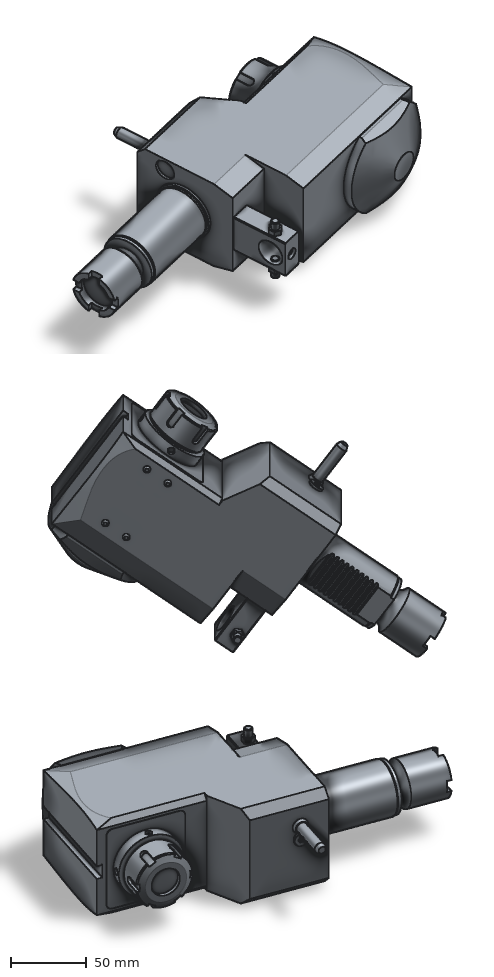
import cadquery as cq
import math


HALF_HEIGHT = 37.5
BASE_LEFT = -38.8
BASE_RIGHT = 39.6
HEAD_LEFT = -8.5
HEAD_RIGHT = 72.0
HEAD_REAR = 156.0
SHOULDER_Y = 35.0
SLOPE_LOW_Y = 58.2
SLOPE_HIGH_Y = 75.0
BASE_BEVEL = 6.4
SHALLOW_ANGLE = 15.0
SHALLOW_SLOPE = math.tan(math.radians(SHALLOW_ANGLE))
BASE_SHALLOW_WIDTH = 15.5
HEAD_SHALLOW_WIDTH = 14.5
HEAD_BEVEL = HEAD_SHALLOW_WIDTH * SHALLOW_SLOPE
CROWN_EDGE_Y = 143.4
CROWN_TOP_RISE = 9.0
CROWN_CORNER_RISE = 12.4
CROWN_PEAK_POSITION = 0.38
CROWN_LEFT_STEEPNESS = 7.0
CROWN_RIGHT_STEEPNESS = 2.0
REAR_SLOT_WIDTH = 10.0
REAR_SLOT_DEPTH = 4.0
PLUG_X = -15.9
PLUG_Z = 27.7
PLUG_DIAMETER = 15.0
PLUG_DEPTH = 2.0
MARGIN = 10.0

COLLAR_RADIUS = 21.5
COLLAR_LENGTH = 2.0
SEAT_RADIUS = 20.1
SEAT_END = 3.6
SHANK_RADIUS = 20.0
SHANK_LENGTH = 63.0
SHANK_END_RADIUS = 19.5
SHANK_END_LENGTH = 2.5
SHANK_END_TAPER = 0.9
NECK_RADIUS = 12.5
NECK_LENGTH = 0.6
FLARE_MID_RADIUS = 13.5
COUPLING_RADIUS = 17.5
COUPLING_START = 71.0
COUPLING_END = 101.0
COUPLING_BORE = 12.7
COUPLING_BORE_DEPTH = 6.0
CLAW_DEPTH = 3.5
CLAW_SLOT_WIDTH = 8.6
RACK_FLAT_Z = -16.1
RACK_FLAT_START = 9.5
RACK_PITCH = 4.0
RACK_NOTCHES = 10
RACK_FIRST = 11.7
RACK_DEPTH = 1.3
RACK_NOTCH_BOTTOM = 1.4
RACK_NOTCH_TOP = 3.2

SPINDLE_Y = 120.0
FLANGE_RADIUS = 24.0
FLANGE_FACE = -17.0
NUT_RADIUS = 21.0
NUT_FACE = -38.7
NUT_FACE_RADIUS = 15.2
NUT_BEVEL_RADIUS = 20.2
NUT_BEVEL_LENGTH = 1.5
NUT_ROUND_LENGTH = 2.4
NUT_GROOVE_RADIUS = 20.0
NUT_GROOVE_LENGTH = 1.5
NUT_BORE = 10.4
NUT_BORE_DEPTH = 3.0
NUT_SLOTS = 6
NUT_SLOT_WIDTH = 5.4
NUT_SLOT_END = -24.0
NUT_SLOT_FLOOR = 18.5
FLANGE_HOLES = 4
FLANGE_HOLE_X = -13.0
FLANGE_HOLE_DIAMETER = 4.8
FLANGE_HOLE_DEPTH = 4.0
PLATE_LENGTH = 58.0
PLATE_HEIGHT = 63.0
PLATE_CORNER = 4.5
PLATE_PROUD = 0.3

COVER_RADIUS = 40.3
COVER_RIM_X = 78.5
COVER_TIP_X = 92.0
COVER_TIP_RADIUS = 10.6
COVER_FLAT_Y = 151.7
COVER_HALF_HEIGHT = 33.2
COVER_STRAIGHT = 2.0

ARM_END = 82.0
ARM_HALF_HEIGHT = 15.0
ARM_FRONT = 1.0
ARM_BACK = 16.2
ARM_BORE_X = 70.0
ARM_BORE_DIAMETER = 19.6
ARM_SIDE_HOLE = 8.0
ARM_CHAMFER = 0.6
STUD_Y = 6.2
STUD_DIAMETER = 5.8
STUD_TIP_Z = 25.3
STUD_INNER_Z = 9.0
STUD_CHAMFER = 0.6
STUD_NUT_HEIGHT = 4.0
STUD_NUT_CORNERS = 9.4

PIN_Y = 21.0
PIN_Z = 16.0
PIN_RADIUS = 4.0
PIN_TIP = -71.5
PIN_TIP_RADIUS = 2.6
PIN_TIP_LENGTH = 3.0
PIN_COLLAR_RADIUS = 5.7
PIN_COLLAR_FACE_RADIUS = 4.6
PIN_COLLAR_HEIGHT = 2.4
SCREW_Z = 6.2
SCREW_RADIUS = 5.0
SCREW_HEIGHT = 1.8
SCREW_SOCKET = 4.6
SCREW_SOCKET_DEPTH = 1.5

RIVET_CENTRE_X = 26.2
RIVET_CENTRE_Y = SPINDLE_Y
RIVET_SPACING_X = 47.0
RIVET_SPACING_Y = 17.0
RIVET_HEIGHT = 1.6
RIVET_BASE_RADIUS = 2.4
RIVET_TOP_RADIUS = 1.2


def box(x0, x1, y0, y1, z0, z1):
    return cq.Workplane("XY").box(x1 - x0, y1 - y0, z1 - z0, centered=False).translate((x0, y0, z0))


def turned_on_x(profile, y, z):
    """Revolve (x, radius) points about an axis parallel to X."""
    axis_start, axis_end = (0, 0), (1, 0)
    solid = cq.Workplane("XY").polyline(profile).close().revolve(360, axis_start, axis_end)
    return solid.translate((0, y, z))


def edge_bevel(x_edge, inward, width, drop, y0, y1):
    """Wedges removing the upper and lower long edges at x_edge; inward is +1 or -1."""
    upper = (
        cq.Workplane("XZ", origin=(0, y1, 0))
        .moveTo(x_edge + inward * width, HALF_HEIGHT)
        .lineTo(x_edge, HALF_HEIGHT - drop)
        .lineTo(x_edge - inward * MARGIN, HALF_HEIGHT - drop)
        .lineTo(x_edge - inward * MARGIN, HALF_HEIGHT + MARGIN)
        .lineTo(x_edge + inward * width, HALF_HEIGHT + MARGIN)
        .close()
        .extrude(y1 - y0)
    )
    return upper.union(upper.mirror("XY"))


def crown_outline(left, right, edge_y, rise, z):
    """Wire at height z around everything behind the arched rear edge of the head."""
    span = right - left
    scale = rise / span
    peak = (left + CROWN_PEAK_POSITION * span, edge_y + rise)
    beyond = HEAD_REAR + CROWN_CORNER_RISE + MARGIN
    return (
        cq.Workplane("XY", origin=(0, 0, z))
        .moveTo(left, edge_y)
        .spline(
            [peak, (right, edge_y)],
            tangents=[(1, CROWN_LEFT_STEEPNESS * scale), (1, 0), (1, -CROWN_RIGHT_STEEPNESS * scale)],
            includeCurrent=True,
        )
        .lineTo(right, beyond)
        .lineTo(left, beyond)
        .close()
        .val()
    )


def crown_cutter():
    """Ruled body that gives the rear of the head its arched upper and lower bevels."""
    left = HEAD_LEFT + HEAD_BEVEL
    right = HEAD_RIGHT - HEAD_SHALLOW_WIDTH
    corner_z = HALF_HEIGHT - HEAD_SHALLOW_WIDTH * SHALLOW_SLOPE
    top = crown_outline(left, right, CROWN_EDGE_Y, CROWN_TOP_RISE, HALF_HEIGHT)
    corner = crown_outline(HEAD_LEFT, HEAD_RIGHT, HEAD_REAR, CROWN_CORNER_RISE, corner_z)
    upper = cq.Workplane(cq.Solid.makeLoft([corner, top], True))
    return upper.union(upper.mirror("XY"))


def make_housing():
    body = (
        cq.Workplane("XY", origin=(0, 0, -HALF_HEIGHT))
        .moveTo(BASE_LEFT, 0)
        .lineTo(BASE_RIGHT, 0)
        .lineTo(BASE_RIGHT, SHOULDER_Y)
        .lineTo(HEAD_RIGHT, SHOULDER_Y)
        .lineTo(HEAD_RIGHT, HEAD_REAR)
        .lineTo(HEAD_LEFT, HEAD_REAR)
        .lineTo(HEAD_LEFT, SLOPE_HIGH_Y)
        .lineTo(BASE_LEFT, SLOPE_LOW_Y)
        .close()
        .extrude(2 * HALF_HEIGHT)
    )
    head_drop = HEAD_SHALLOW_WIDTH * SHALLOW_SLOPE
    base_drop = BASE_SHALLOW_WIDTH * SHALLOW_SLOPE
    body = body.cut(edge_bevel(BASE_LEFT, 1, BASE_BEVEL, BASE_BEVEL, 0, SLOPE_HIGH_Y))
    body = body.cut(edge_bevel(HEAD_LEFT, 1, HEAD_BEVEL, HEAD_BEVEL, SLOPE_HIGH_Y, HEAD_REAR))
    body = body.cut(edge_bevel(HEAD_RIGHT, -1, HEAD_SHALLOW_WIDTH, head_drop, SHOULDER_Y, HEAD_REAR))
    body = body.cut(edge_bevel(BASE_RIGHT, -1, BASE_SHALLOW_WIDTH, base_drop, 0, SHOULDER_Y))
    body = body.cut(crown_cutter())
    half_slot = REAR_SLOT_WIDTH / 2
    body = body.cut(
        box(HEAD_LEFT, HEAD_RIGHT, HEAD_REAR - REAR_SLOT_DEPTH, HEAD_REAR, -half_slot, half_slot)
    )
    plug_hole = (
        cq.Workplane("XZ", origin=(PLUG_X, PLUG_DEPTH, PLUG_Z)).circle(PLUG_DIAMETER / 2).extrude(PLUG_DEPTH)
    )
    return body.cut(plug_hole)


def cut_rack(shank):
    """Flat with transverse locking teeth on the underside of the shank."""
    run_out = SHANK_RADIUS + RACK_FLAT_Z
    flat = (
        cq.Workplane("YZ", origin=(-SHANK_RADIUS, 0, 0))
        .moveTo(-RACK_FLAT_START, RACK_FLAT_Z)
        .lineTo(-SHANK_LENGTH, RACK_FLAT_Z)
        .lineTo(-SHANK_LENGTH, -SHANK_RADIUS)
        .lineTo(-RACK_FLAT_START + run_out, -SHANK_RADIUS)
        .close()
        .extrude(2 * SHANK_RADIUS)
    )
    shank = shank.cut(flat)
    for index in range(RACK_NOTCHES):
        y = -RACK_FIRST - index * RACK_PITCH
        notch = (
            cq.Workplane("YZ", origin=(-SHANK_RADIUS, 0, 0))
            .moveTo(y - RACK_NOTCH_TOP / 2, RACK_FLAT_Z)
            .lineTo(y - RACK_NOTCH_BOTTOM / 2, RACK_FLAT_Z + RACK_DEPTH)
            .lineTo(y + RACK_NOTCH_BOTTOM / 2, RACK_FLAT_Z + RACK_DEPTH)
            .lineTo(y + RACK_NOTCH_TOP / 2, RACK_FLAT_Z)
            .close()
            .extrude(2 * SHANK_RADIUS)
        )
        shank = shank.cut(notch)
    return shank


def make_shank():
    end_start = SHANK_LENGTH - SHANK_END_LENGTH
    neck_end = SHANK_LENGTH + NECK_LENGTH
    flare_middle = (neck_end + COUPLING_START) / 2
    turned = (
        cq.Workplane("XY")
        .moveTo(0, 0)
        .lineTo(COLLAR_RADIUS, 0)
        .lineTo(COLLAR_RADIUS, -COLLAR_LENGTH)
        .lineTo(SEAT_RADIUS, -COLLAR_LENGTH)
        .lineTo(SEAT_RADIUS, -SEAT_END)
        .lineTo(SHANK_RADIUS, -SEAT_END)
        .lineTo(SHANK_RADIUS, -end_start + SHANK_END_TAPER)
        .lineTo(SHANK_END_RADIUS, -end_start)
        .lineTo(SHANK_END_RADIUS, -SHANK_LENGTH)
        .lineTo(NECK_RADIUS, -SHANK_LENGTH)
        .lineTo(NECK_RADIUS, -neck_end)
        .threePointArc((FLARE_MID_RADIUS, -flare_middle), (COUPLING_RADIUS, -COUPLING_START))
        .lineTo(COUPLING_RADIUS, -COUPLING_END)
        .lineTo(0, -COUPLING_END)
        .close()
        .revolve(360, (0, 0), (0, 1))
    )
    shank = cut_rack(turned)
    claw_floor = COUPLING_END - CLAW_DEPTH
    half_slot = CLAW_SLOT_WIDTH / 2
    bore = (
        cq.Workplane("XZ", origin=(0, COUPLING_BORE_DEPTH - COUPLING_END, 0))
        .circle(COUPLING_BORE)
        .extrude(COUPLING_BORE_DEPTH)
    )
    slot = box(-half_slot, half_slot, -COUPLING_END, -claw_floor, -COUPLING_RADIUS, COUPLING_RADIUS)
    cross_slot = slot.rotate((0, 0, 0), (0, 1, 0), 90)
    return shank.cut(bore).cut(slot).cut(cross_slot)


def around_spindle(solid, count):
    """Copies of a solid spread evenly about the spindle axis."""
    axis_start, axis_end = (0, SPINDLE_Y, 0), (1, SPINDLE_Y, 0)
    return [solid.rotate(axis_start, axis_end, index * 360 / count) for index in range(count)]


def make_spindle():
    profile = [
        (HEAD_LEFT, 0),
        (HEAD_LEFT, FLANGE_RADIUS),
        (FLANGE_FACE, FLANGE_RADIUS),
        (FLANGE_FACE, NUT_GROOVE_RADIUS),
        (FLANGE_FACE - NUT_GROOVE_LENGTH, NUT_GROOVE_RADIUS),
        (FLANGE_FACE - NUT_GROOVE_LENGTH, NUT_RADIUS),
        (NUT_FACE + NUT_ROUND_LENGTH, NUT_RADIUS),
        (NUT_FACE + NUT_BEVEL_LENGTH, NUT_BEVEL_RADIUS),
        (NUT_FACE, NUT_FACE_RADIUS),
        (NUT_FACE, NUT_BORE),
        (NUT_FACE + NUT_BORE_DEPTH, NUT_BORE),
        (NUT_FACE + NUT_BORE_DEPTH, 0),
    ]
    spindle = turned_on_x(profile, SPINDLE_Y, 0)

    slot_round = NUT_SLOT_END - NUT_SLOT_WIDTH / 2
    half_slot = NUT_SLOT_WIDTH / 2
    slot = (
        cq.Workplane("XZ", origin=(0, SPINDLE_Y + NUT_RADIUS + MARGIN, 0))
        .moveTo(NUT_FACE, half_slot)
        .lineTo(slot_round, half_slot)
        .threePointArc((NUT_SLOT_END, 0), (slot_round, -half_slot))
        .lineTo(NUT_FACE, -half_slot)
        .close()
        .extrude(NUT_RADIUS + MARGIN - NUT_SLOT_FLOOR)
    )
    hole = (
        cq.Workplane("XY", origin=(FLANGE_HOLE_X, SPINDLE_Y, FLANGE_RADIUS - FLANGE_HOLE_DEPTH))
        .circle(FLANGE_HOLE_DIAMETER / 2)
        .extrude(FLANGE_HOLE_DEPTH + MARGIN)
    )
    for cutter in around_spindle(slot, NUT_SLOTS) + around_spindle(hole, FLANGE_HOLES):
        spindle = spindle.cut(cutter)

    plate = (
        box(
            HEAD_LEFT - PLATE_PROUD,
            HEAD_LEFT,
            SPINDLE_Y - PLATE_LENGTH / 2,
            SPINDLE_Y + PLATE_LENGTH / 2,
            -PLATE_HEIGHT / 2,
            PLATE_HEIGHT / 2,
        )
        .edges("|X")
        .fillet(PLATE_CORNER)
    )
    return spindle.union(plate)


def make_cover():
    """Domed cover: a disc with a conical face, trimmed above, below and at the rear."""
    profile = [
        (HEAD_RIGHT, 0),
        (HEAD_RIGHT, COVER_RADIUS),
        (COVER_RIM_X, COVER_RADIUS),
        (COVER_TIP_X, COVER_TIP_RADIUS),
        (COVER_TIP_X, 0),
    ]
    disc = turned_on_x(profile, SPINDLE_Y, 0)
    taper_start = HEAD_RIGHT + COVER_STRAIGHT
    tip_height = COVER_HALF_HEIGHT - (COVER_TIP_X - taper_start) * SHALLOW_SLOPE
    envelope = (
        cq.Workplane("XZ", origin=(0, COVER_FLAT_Y, 0))
        .moveTo(HEAD_RIGHT, -COVER_HALF_HEIGHT)
        .lineTo(taper_start, -COVER_HALF_HEIGHT)
        .lineTo(COVER_TIP_X, -tip_height)
        .lineTo(COVER_TIP_X, tip_height)
        .lineTo(taper_start, COVER_HALF_HEIGHT)
        .lineTo(HEAD_RIGHT, COVER_HALF_HEIGHT)
        .close()
        .extrude(COVER_FLAT_Y - SPINDLE_Y + COVER_RADIUS)
    )
    return disc.intersect(envelope)


def make_stud():
    """Upper adjusting stud with its hexagon nut."""
    stud = (
        cq.Workplane("XY", origin=(ARM_BORE_X, STUD_Y, STUD_INNER_Z))
        .circle(STUD_DIAMETER / 2)
        .extrude(STUD_TIP_Z - STUD_INNER_Z)
        .faces("<Z or >Z")
        .chamfer(STUD_CHAMFER)
    )
    nut = (
        cq.Workplane("XY", origin=(ARM_BORE_X, STUD_Y, ARM_HALF_HEIGHT))
        .polygon(6, STUD_NUT_CORNERS)
        .extrude(STUD_NUT_HEIGHT)
    )
    return stud.union(nut)


def make_arm():
    arm = box(BASE_RIGHT, ARM_END, ARM_FRONT, ARM_BACK, -ARM_HALF_HEIGHT, ARM_HALF_HEIGHT)
    arm = arm.edges("|X").chamfer(ARM_CHAMFER)
    bore = (
        cq.Workplane("XZ", origin=(ARM_BORE_X, ARM_BACK, 0))
        .circle(ARM_BORE_DIAMETER / 2)
        .extrude(ARM_BACK - ARM_FRONT)
    )
    side_hole = (
        cq.Workplane("YZ", origin=(ARM_BORE_X, (ARM_FRONT + ARM_BACK) / 2, 0))
        .circle(ARM_SIDE_HOLE / 2)
        .extrude(ARM_END - ARM_BORE_X)
    )
    stud = make_stud()
    return arm.cut(bore).cut(side_hole).union(stud).union(stud.mirror("XY"))


def make_pin_and_screw():
    collar_face = BASE_LEFT - PIN_COLLAR_HEIGHT
    profile = [
        (BASE_LEFT, 0),
        (BASE_LEFT, PIN_COLLAR_RADIUS),
        (collar_face, PIN_COLLAR_FACE_RADIUS),
        (collar_face, PIN_RADIUS),
        (PIN_TIP + PIN_TIP_LENGTH, PIN_RADIUS),
        (PIN_TIP, PIN_TIP_RADIUS),
        (PIN_TIP, 0),
    ]
    pin = turned_on_x(profile, PIN_Y, PIN_Z)
    head = (
        cq.Workplane("YZ", origin=(BASE_LEFT - SCREW_HEIGHT, PIN_Y, SCREW_Z))
        .circle(SCREW_RADIUS)
        .extrude(SCREW_HEIGHT)
    )
    socket = (
        cq.Workplane("YZ", origin=(BASE_LEFT - SCREW_HEIGHT, PIN_Y, SCREW_Z))
        .polygon(6, SCREW_SOCKET)
        .extrude(SCREW_SOCKET_DEPTH)
    )
    return head.cut(socket).union(pin)


def make_rivet(x, y):
    return (
        cq.Workplane("XY", origin=(x, y, -HALF_HEIGHT))
        .circle(RIVET_BASE_RADIUS)
        .workplane(offset=-RIVET_HEIGHT)
        .circle(RIVET_TOP_RADIUS)
        .loft()
    )


result = make_housing()
for feature in (make_shank(), make_spindle(), make_cover(), make_arm(), make_pin_and_screw()):
    result = result.union(feature)
for x_side in (-1, 1):
    for y_side in (-1, 1):
        rivet_x = RIVET_CENTRE_X + x_side * RIVET_SPACING_X / 2
        rivet_y = RIVET_CENTRE_Y + y_side * RIVET_SPACING_Y / 2
        result = result.union(make_rivet(rivet_x, rivet_y))